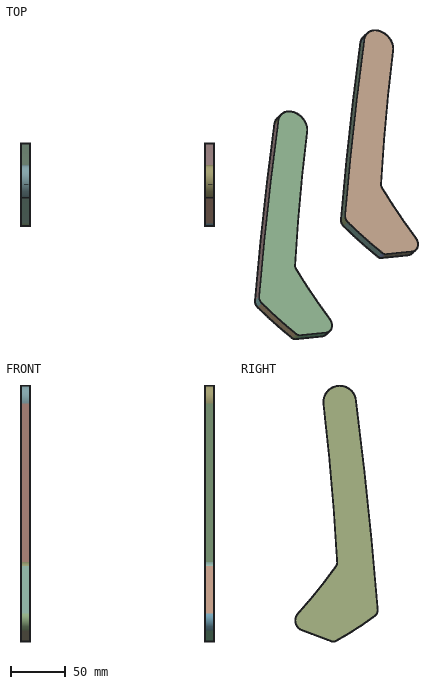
import cadquery as cq
import math

TOTAL_WIDTH = 176.0
PLATE_THICKNESS = 8.5

ARM_TOP_BACK = (18.5, 102.5)
ARM_TOP_FRONT = (-11.5, 100.5)
ARM_TIP = (4.0, 116.8)
INNER_ELBOW = (1.2, -46.2)
TOE = (-44.4, -101.4)
SOLE = (-1.9, -117.2)
HEEL = (38.5, -91.0)

BACK_BULGE = 1.2
FRONT_BULGE = 1.2
INSTEP_BULGE = -1.5
SOLE_BULGE = 1.0

ELBOW_RADIUS = 5.8
TOE_RADIUS = 9.5
SOLE_RADIUS = 4.7
HEEL_RADIUS = 7.0


def bulge_point(start, end, bulge):
    """Middle point of an arc; a positive bulge lies to the right of travel."""
    dy = end[0] - start[0]
    dz = end[1] - start[1]
    chord = math.hypot(dy, dz)
    middle_y = (start[0] + end[0]) / 2 + bulge * dz / chord
    middle_z = (start[1] + end[1]) / 2 - bulge * dy / chord
    return (middle_y, middle_z)


def round_corner(plate, corner, radius):
    """Fillet the thickness-direction edge at one profile corner."""
    nearest = cq.selectors.NearestToPointSelector((PLATE_THICKNESS / 2, *corner))
    return plate.edges("|X").edges(nearest).fillet(radius)


def make_arm(x_start):
    """One bent arm plate whose lower X face is at x_start."""
    plate = (
        cq.Workplane("YZ")
        .moveTo(*ARM_TOP_BACK)
        .threePointArc(ARM_TIP, ARM_TOP_FRONT)
        .threePointArc(bulge_point(ARM_TOP_FRONT, INNER_ELBOW, -FRONT_BULGE), INNER_ELBOW)
        .threePointArc(bulge_point(INNER_ELBOW, TOE, INSTEP_BULGE), TOE)
        .lineTo(*SOLE)
        .threePointArc(bulge_point(SOLE, HEEL, SOLE_BULGE), HEEL)
        .threePointArc(bulge_point(HEEL, ARM_TOP_BACK, BACK_BULGE), ARM_TOP_BACK)
        .close()
        .extrude(PLATE_THICKNESS)
    )
    plate = round_corner(plate, INNER_ELBOW, ELBOW_RADIUS)
    plate = round_corner(plate, TOE, TOE_RADIUS)
    plate = round_corner(plate, SOLE, SOLE_RADIUS)
    plate = round_corner(plate, HEEL, HEEL_RADIUS)
    return plate.translate((x_start, 0, 0))


arm_starts = [-TOTAL_WIDTH / 2, TOTAL_WIDTH / 2 - PLATE_THICKNESS]
arms = [make_arm(x_start).val() for x_start in arm_starts]

result = cq.Compound.makeCompound(arms)